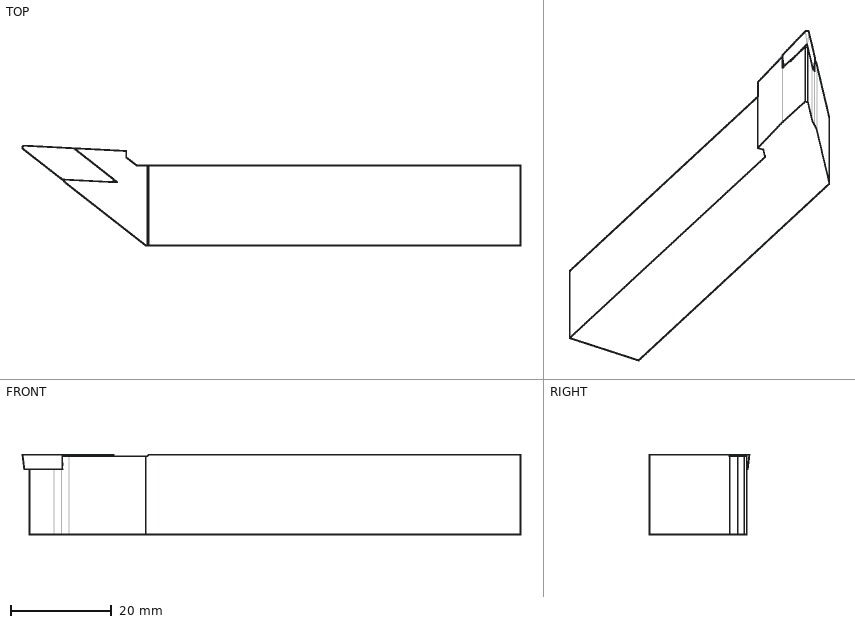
import cadquery as cq
import math

TOTAL_LENGTH = 99.15
SHANK_SIZE = 16.0
SHANK_START = 25.2
RAMP_START = 24.9

HEAD_DROP = 0.3
HEAD_TOP = SHANK_SIZE - HEAD_DROP
FLANK_START = 24.6
HEAD_NOSE_X = 1.4
HEAD_NOSE_Y = 19.3
HEAD_END_X = 20.7
STEP_Y = 17.5
STEP_FOOT_X = 22.8
RELIEF_START_X = 9.2
RELIEF_END_X = 6.2

TIP_Y = 19.9
INSERT_SIDE = 11.1
INSERT_THICKNESS = 3.0
INSERT_NOSE_RADIUS = 0.4
CLEARANCE_ANGLE = 7.0
BACK_EDGE_ANGLE = 3.0
INSERT_ANGLE = 35.0
FRONT_EDGE_ANGLE = BACK_EDGE_ANGLE + INSERT_ANGLE
INSERT_BOTTOM = SHANK_SIZE - INSERT_THICKNESS
CLEARANCE = INSERT_THICKNESS * math.tan(math.radians(CLEARANCE_ANGLE))


def falling(angle, length=1.0):
    """Vector of the given length pointing along +X and tilted down toward -Y."""
    return cq.Vector(length * math.cos(math.radians(angle)), -length * math.sin(math.radians(angle)))


BACK_SLOPE = math.tan(math.radians(BACK_EDGE_ANGLE))
FRONT_SLOPE = math.tan(math.radians(FRONT_EDGE_ANGLE))

BISECTOR_ANGLE = (BACK_EDGE_ANGLE + FRONT_EDGE_ANGLE) / 2
TIP_SETBACK = INSERT_NOSE_RADIUS / math.sin(math.radians(INSERT_ANGLE / 2))
nose_center = cq.Vector(INSERT_NOSE_RADIUS, TIP_Y - INSERT_NOSE_RADIUS)
sharp_tip = nose_center - falling(BISECTOR_ANGLE, TIP_SETBACK)
back_corner = sharp_tip + falling(BACK_EDGE_ANGLE, INSERT_SIDE)
front_corner = sharp_tip + falling(FRONT_EDGE_ANGLE, INSERT_SIDE)
sharp_tail = back_corner + falling(FRONT_EDGE_ANGLE, INSERT_SIDE)


def back_edge_y(x):
    """Y of the line through the insert's back edge."""
    return sharp_tip.y - (x - sharp_tip.x) * BACK_SLOPE


def front_edge_y(x):
    """Y of the line through the insert's front edge."""
    return sharp_tip.y - (x - sharp_tip.x) * FRONT_SLOPE


def relieved_flank_y(x):
    """Y of the head flank below the insert, flush with the insert's bottom edge."""
    return front_edge_y(x) + CLEARANCE / math.cos(math.radians(FRONT_EDGE_ANGLE))


def tapered_plate(nose_radius):
    """Rhombus narrowing downward; the two acute corners are rounded by nose_radius."""
    blank = cq.Workplane("XY").polyline(
        [p.toTuple()[:2] for p in (sharp_tip, front_corner, sharp_tail, back_corner)]
    ).close()
    outline = blank.wires().val()
    if nose_radius > 0:
        acute = [
            corner for corner in outline.Vertices()
            if corner.X < front_corner.x - nose_radius or corner.X > back_corner.x + nose_radius
        ]
        outline = outline.fillet2D(nose_radius, acute)
    solid = cq.Solid.extrudeLinear(outline, [], cq.Vector(0, 0, -INSERT_THICKNESS), CLEARANCE_ANGLE)
    return cq.Workplane(solid.translate(cq.Vector(0, 0, SHANK_SIZE)))


def make_shank():
    """Square bar with a short ramp from the head top up to the shank top."""
    profile = (
        cq.Workplane("XZ")
        .moveTo(FLANK_START, 0)
        .lineTo(TOTAL_LENGTH, 0)
        .lineTo(TOTAL_LENGTH, SHANK_SIZE)
        .lineTo(SHANK_START, SHANK_SIZE)
        .lineTo(RAMP_START, HEAD_TOP)
        .lineTo(FLANK_START, HEAD_TOP)
        .close()
    )
    return profile.extrude(-SHANK_SIZE)


def make_head():
    """Angled head with an S-shaped relief on its front flank."""
    relief_start = cq.Vector(RELIEF_START_X, (FLANK_START - RELIEF_START_X) * FRONT_SLOPE)
    relief_end = cq.Vector(RELIEF_END_X, relieved_flank_y(RELIEF_END_X))
    relief_middle = (relief_start + relief_end) * 0.5
    return (
        cq.Workplane("XY")
        .moveTo(FLANK_START, 0)
        .lineTo(relief_start.x, relief_start.y)
        .tangentArcPoint((relief_middle.x, relief_middle.y), relative=False)
        .tangentArcPoint((relief_end.x, relief_end.y), relative=False)
        .lineTo(HEAD_NOSE_X, relieved_flank_y(HEAD_NOSE_X))
        .lineTo(HEAD_NOSE_X, HEAD_NOSE_Y)
        .lineTo(back_corner.x, back_corner.y)
        .lineTo(HEAD_END_X, back_edge_y(HEAD_END_X))
        .lineTo(HEAD_END_X, STEP_Y)
        .lineTo(STEP_FOOT_X, SHANK_SIZE)
        .lineTo(FLANK_START, SHANK_SIZE)
        .close()
        .extrude(HEAD_TOP)
    )


def make_holder():
    """Shank and head in one piece, with a sharp-cornered pocket for the insert."""
    pocket = tapered_plate(0)
    nose_opening = (
        cq.Workplane("XY", origin=(0, 0, INSERT_BOTTOM))
        .polyline([
            (sharp_tip.x, front_corner.y),
            front_corner.toTuple()[:2],
            back_corner.toTuple()[:2],
            (back_corner.x, TIP_Y),
            (sharp_tip.x, TIP_Y),
        ])
        .close()
        .extrude(INSERT_THICKNESS)
    )
    return make_shank().union(make_head()).cut(pocket).cut(nose_opening).solids()


holder = make_holder()
insert = tapered_plate(INSERT_NOSE_RADIUS)

result = cq.Compound.makeCompound([holder.val(), insert.val()])